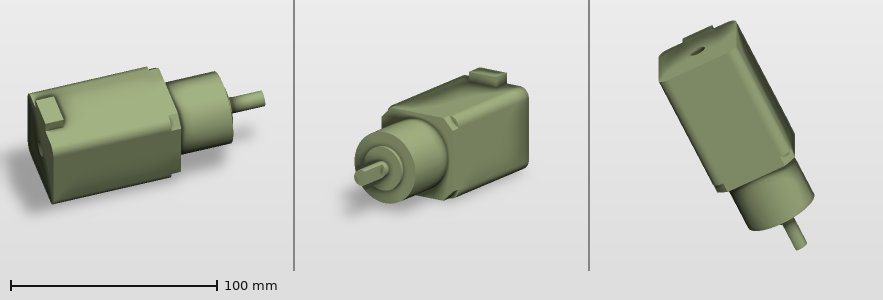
import cadquery as cq


motor_side = 42.0
motor_length = 60.0
motor_corner_radius = 5.2
rear_hole_diameter = 8.0
rear_hole_depth = 5.1

connector_width = 16.0
connector_length = 9.3
connector_height = 5.4

flange_length = 5.0
gear_case_length = 27.5
pilot_length = 2.0
shaft_length = 18.5
flat_length = 15.0

flange_chamfer = 5.5
gear_case_diameter = 36.0
pilot_diameter = 22.0
shaft_diameter = 8.0
flat_to_axis = 2.0

flange_front = motor_length + flange_length
gear_case_front = flange_front + gear_case_length
pilot_front = gear_case_front + pilot_length
shaft_tip = pilot_front + shaft_length


def section_plane(y):
    """Workplane across the motor axis at distance y along it, with its normal along +Y."""
    return cq.Workplane(cq.Plane(origin=(0, y, 0), xDir=(1, 0, 0), normal=(0, 1, 0)))


def make_motor():
    """Square motor body with rounded long edges, a connector block and a blind rear hole."""
    body = (
        section_plane(0)
        .rect(motor_side, motor_side)
        .extrude(motor_length)
        .edges("|Y")
        .fillet(motor_corner_radius)
    )
    connector = (
        cq.Workplane("XY", origin=(0, connector_length / 2, motor_side / 2))
        .rect(connector_width, connector_length)
        .extrude(connector_height)
    )
    rear_hole = section_plane(0).circle(rear_hole_diameter / 2).extrude(rear_hole_depth)
    return body.union(connector).cut(rear_hole)


def make_flange():
    """Square mounting flange with chamfered corners."""
    return (
        section_plane(motor_length)
        .rect(motor_side, motor_side)
        .extrude(flange_length)
        .edges("|Y")
        .chamfer(flange_chamfer)
    )


def make_turned_parts():
    """Gear case, pilot boss and shaft, turned about the motor axis."""
    return (
        cq.Workplane("YZ")
        .moveTo(flange_front, 0)
        .lineTo(flange_front, gear_case_diameter / 2)
        .lineTo(gear_case_front, gear_case_diameter / 2)
        .lineTo(gear_case_front, pilot_diameter / 2)
        .lineTo(pilot_front, pilot_diameter / 2)
        .lineTo(pilot_front, shaft_diameter / 2)
        .lineTo(shaft_tip, shaft_diameter / 2)
        .lineTo(shaft_tip, 0)
        .close()
        .revolve(360, (0, 0, 0), (1, 0, 0))
    )


def make_shaft_flat():
    """Block that removes the -X side of the shaft over the length of its flat."""
    center = (-flat_to_axis - shaft_diameter / 2, shaft_tip - flat_length / 2, 0)
    return cq.Workplane("XY", origin=center).box(shaft_diameter, flat_length, shaft_diameter)


def make_gearhead():
    """Flange and turned parts as one solid, with the drive flat on the shaft."""
    return make_flange().union(make_turned_parts()).cut(make_shaft_flat())


motor = make_motor()
gearhead = make_gearhead()

result = cq.Compound.makeCompound([motor.val(), gearhead.val()])